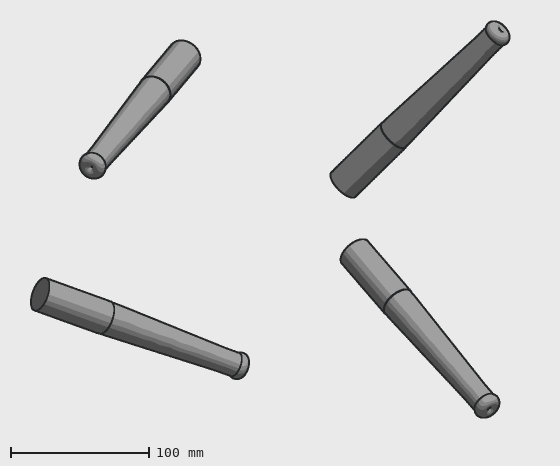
import cadquery as cq

overall_length = 176.0
shank_diameter = 25.0
shank_start = 120.0

collar_diameter = 24.5
collar_start = 115.0
shank_chamfer = (shank_diameter - collar_diameter) / 2

neck_diameter = 18.0
neck_end = 20.0

head_diameter = 20.0
ring_radius = head_diameter / 4

shank_radius = shank_diameter / 2
collar_radius = collar_diameter / 2
neck_radius = neck_diameter / 2

head_end = ring_radius + (ring_radius**2 - (neck_radius - ring_radius) ** 2) ** 0.5


def half_profile():
    """Half section above the axis: first coordinate along Y, second along Z (the radius)."""
    return (
        cq.Workplane("YZ")
        .moveTo(ring_radius, 0)
        .threePointArc((0, ring_radius), (head_end, neck_radius))
        .lineTo(neck_end, neck_radius)
        .lineTo(collar_start, collar_radius)
        .lineTo(shank_start, collar_radius)
        .lineTo(shank_start + shank_chamfer, shank_radius)
        .lineTo(overall_length, shank_radius)
        .lineTo(overall_length, 0)
        .close()
    )


result = half_profile().revolve(360, (0, 0, 0), (1, 0, 0))